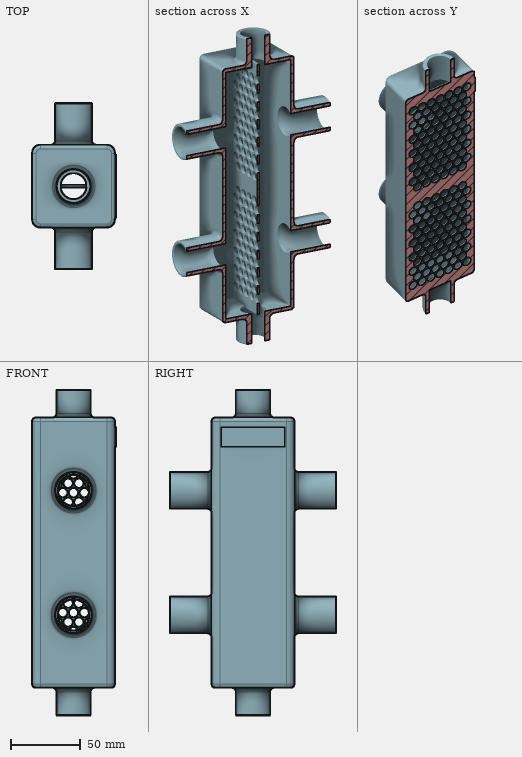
import cadquery as cq

body_width = 60.0
body_height = 195.0
wall = 3.0
corner_radius = 6.0
end_edge_radius = 2.8

overall_height = 235.0
overall_depth = 120.0
end_pipe_diameter = 25.0
end_pipe_bore = 18.5
side_pipe_diameter = 26.8
side_pipe_bore = 22.0
side_pipe_height = 45.0
weld_radius = 2.8
pipe_end_chamfer = 0.5
side_bore_chamfer = 0.5

plate_thickness = 2.0
hole_diameter = 6.5
column_pitch = 7.8
row_pitch = 6.8
middle_row_height = 43.2
rows_below_middle = 5
rows_above_middle = 6
hole_edge_margin = 0.2

label_thickness = 0.7
label_width = 45.5
label_height = 14.0
label_center_height = 83.5

inner_width = body_width - 2 * wall
inner_height = body_height - 2 * wall
end_pipe_length = (overall_height - body_height) / 2
side_pipe_length = (overall_depth - body_width) / 2


def outer_body():
    block = cq.Workplane("XY").box(body_width, body_width, body_height)
    return block.edges("|Z").fillet(corner_radius).faces("<Z or >Z").edges().fillet(end_edge_radius)


def inner_chamber():
    chamber = cq.Workplane("XY").box(inner_width, inner_width, inner_height)
    return chamber.edges("|Z").fillet(corner_radius - wall)


def pipe(diameter, bore, bore_chamfer, length, mount):
    """Return a stub with a concave weld at its foot, and its bore through the wall.

    The origin of the mount plane is the centre of the foot and its normal points outward.
    """
    radius = diameter / 2
    profile = (
        cq.Workplane("XZ")
        .moveTo(0, -wall / 2)
        .lineTo(radius + weld_radius, -wall / 2)
        .lineTo(radius + weld_radius, 0)
        .radiusArc((radius, weld_radius), weld_radius)
        .lineTo(radius, length - pipe_end_chamfer)
        .lineTo(radius - pipe_end_chamfer, length)
        .lineTo(0, length)
        .close()
    )
    stub = profile.revolve(360, (0, 0, 0), (0, 1, 0)).val().moved(mount.location)
    bore_start = -1.5 * wall
    bore_cut = cq.Workplane(mount).workplane(offset=bore_start).circle(bore / 2).extrude(length - bore_start)
    if bore_chamfer:
        mouth = cq.Workplane(mount).workplane(offset=length).circle(bore / 2 + bore_chamfer)
        bore_cut = bore_cut.union(mouth.extrude(-bore_chamfer, taper=45))
    return stub, bore_cut


def pipe_layout():
    """List diameter, bore, bore chamfer, length and mount plane of every stub."""
    stubs = []
    for side in (-1, 1):
        end_mount = cq.Plane((0, 0, side * body_height / 2), (1, 0, 0), (0, 0, side))
        stubs.append((end_pipe_diameter, end_pipe_bore, 0, end_pipe_length, end_mount))
        for level in (-side_pipe_height, side_pipe_height):
            side_mount = cq.Plane((0, side * body_width / 2, level), (1, 0, 0), (0, side, 0))
            stubs.append(
                (side_pipe_diameter, side_pipe_bore, side_bore_chamfer, side_pipe_length, side_mount)
            )
    return stubs


def hole_centers():
    """Two staggered fields, mirrored about mid-height, each with a row at the height of the middle row.

    Every second row is shifted sideways by half a column pitch.
    """
    reach = inner_width / 2 - hole_diameter / 2 - hole_edge_margin
    centers = []
    for row in range(-rows_below_middle, rows_above_middle + 1):
        height = middle_row_height + row * row_pitch
        shift = column_pitch / 2 if row % 2 else 0
        columns_right = int((reach - shift) / column_pitch)
        columns_left = int((reach + shift) / column_pitch)
        for column in range(-columns_left, columns_right + 1):
            x = column * column_pitch + shift
            centers += [(x, height), (x, -height)]
    return centers


def perforated_plate():
    plate = cq.Workplane("XY").box(inner_width + wall, plate_thickness, inner_height + wall)
    holes = (
        cq.Workplane("XZ")
        .pushPoints(hole_centers())
        .circle(hole_diameter / 2)
        .extrude(plate_thickness, both=True)
    )
    return plate.cut(holes)


def label():
    depth = label_thickness + wall / 2
    center_x = body_width / 2 + label_thickness - depth / 2
    pad = cq.Workplane("XY").box(depth, label_width, label_height)
    return pad.translate((center_x, 0, label_center_height))


result = outer_body().union(label())
bores = []
for stub_sizes in pipe_layout():
    stub, bore_cut = pipe(*stub_sizes)
    result = result.union(cq.Workplane(stub))
    bores.append(bore_cut)

result = result.cut(inner_chamber())
for bore_cut in bores:
    result = result.cut(bore_cut)
result = result.union(perforated_plate())